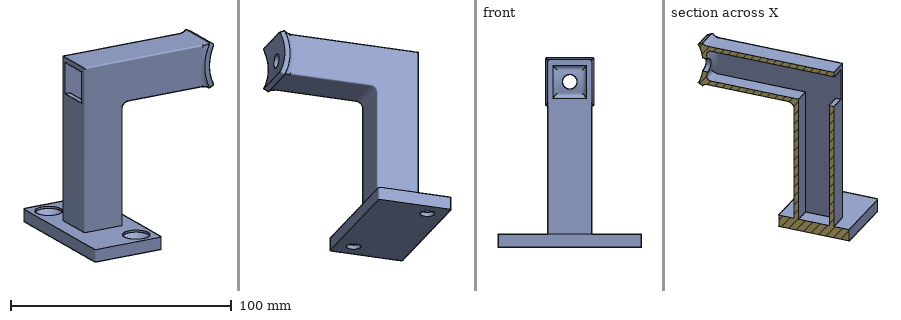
import cadquery as cq
import math

BASE_LENGTH = 65.0
BASE_WIDTH = 35.0
BASE_THICKNESS = 6.0
BASE_CORNER_RADIUS = 1.0

SCREW_DIAMETER = 6.5
COUNTERSINK_DIAMETER = 12.5
COUNTERSINK_ANGLE = 90.0
COUNTERSINK_RECESS = 1.0
SCREW_X = 24.0
SCREW_Y = 9.0

TUBE_SIZE = 20.0
TUBE_WALL = 2.5
TUBE_EDGE_RADIUS = 0.7
INNER_BEND_RADIUS = 3.0
ARM_AXIS_Z = 75.0

OVERALL_REACH = 57.42
RAIL_RADIUS = 21.2
SADDLE_THICKNESS = 2.5
SADDLE_SIZE = 22.0
SADDLE_CORNER_RADIUS = 1.0
FLARE_RADIUS = 3.0
CAVITY_FILLET_RADIUS = 2.0

HALF_TUBE = TUBE_SIZE / 2
BORE_SIZE = TUBE_SIZE - 2 * TUBE_WALL
HALF_BORE = BORE_SIZE / 2
HALF_SADDLE = SADDLE_SIZE / 2
SADDLE_BACK_RADIUS = RAIL_RADIUS + SADDLE_THICKNESS
SADDLE_HALF_ANGLE = math.asin(HALF_SADDLE / SADDLE_BACK_RADIUS)
RAIL_AXIS_Y = OVERALL_REACH + RAIL_RADIUS * math.cos(SADDLE_HALF_ANGLE)

FLARE_OVERHANG = HALF_SADDLE - HALF_TUBE
FLARE_LENGTH = math.sqrt(FLARE_RADIUS**2 - (FLARE_RADIUS - FLARE_OVERHANG) ** 2)
FLARE_END_RADIUS = SADDLE_BACK_RADIUS + FLARE_LENGTH


def make_base():
    plate = cq.Workplane("XY").box(BASE_LENGTH, BASE_WIDTH, BASE_THICKNESS, centered=(True, True, False))
    plate = plate.edges("|Z").fillet(BASE_CORNER_RADIUS)
    return (
        plate
        .cut(make_screw_hole(-SCREW_X, -SCREW_Y))
        .cut(make_screw_hole(SCREW_X, SCREW_Y))
    )


def make_screw_hole(x, y):
    """Through hole with a conical countersink that starts below a short straight recess."""
    hole_radius = SCREW_DIAMETER / 2
    head_radius = COUNTERSINK_DIAMETER / 2
    cone_depth = (head_radius - hole_radius) / math.tan(math.radians(COUNTERSINK_ANGLE / 2))
    cone_top = BASE_THICKNESS - COUNTERSINK_RECESS
    profile = [
        (0, 0),
        (hole_radius, 0),
        (hole_radius, cone_top - cone_depth),
        (head_radius, cone_top),
        (head_radius, BASE_THICKNESS),
        (0, BASE_THICKNESS),
    ]
    hole = cq.Workplane("XZ").polyline(profile).close().revolve(360, (0, 0, 0), (0, 1, 0))
    return hole.translate((x, y, 0))


def rail_cylinder(radius):
    """Solid cylinder on the handrail axis, wider than the part."""
    return (
        cq.Workplane("YZ").center(RAIL_AXIS_Y, ARM_AXIS_Z)
        .circle(radius).extrude(SADDLE_SIZE, both=True)
    )


def make_tube():
    """Outer shape of the bent tube as a solid, ending halfway through the saddle's thickness."""
    top = ARM_AXIS_Z + HALF_TUBE
    underside = ARM_AXIS_Z - HALF_TUBE
    outline = [
        (-HALF_TUBE, BASE_THICKNESS),
        (-HALF_TUBE, top),
        (RAIL_AXIS_Y, top),
        (RAIL_AXIS_Y, underside),
        (HALF_TUBE, underside),
        (HALF_TUBE, BASE_THICKNESS),
    ]
    tube = cq.Workplane("YZ").polyline(outline).close().extrude(HALF_TUBE, both=True)
    inner_bend = cq.selectors.NearestToPointSelector((0, HALF_TUBE, underside))
    tube = tube.edges(inner_bend).fillet(INNER_BEND_RADIUS)
    side_edges = tube.faces("<X or >X").edges("not(<Z or >Y)")
    tube = side_edges.fillet(TUBE_EDGE_RADIUS)
    return tube.cut(rail_cylinder(RAIL_RADIUS + SADDLE_THICKNESS / 2))


def flare_arc_middle():
    """Halfway point of the flare arc: distance out from the tube side, distance behind the saddle."""
    sweep = math.acos((FLARE_RADIUS - FLARE_OVERHANG) / FLARE_RADIUS)
    outward = FLARE_RADIUS * (1 - math.cos(sweep / 2))
    behind = FLARE_LENGTH - FLARE_RADIUS * math.sin(sweep / 2)
    return outward, behind


def saddle_turned_body():
    """Saddle with flared +X and -X sides: a flat profile turned about the handrail axis."""
    outward, behind = flare_arc_middle()
    middle_x = HALF_TUBE + outward
    middle_y = -SADDLE_BACK_RADIUS - behind
    half_turn = 45.0
    profile = (
        cq.Workplane("XY")
        .moveTo(-HALF_SADDLE, -RAIL_RADIUS)
        .lineTo(HALF_SADDLE, -RAIL_RADIUS)
        .lineTo(HALF_SADDLE, -SADDLE_BACK_RADIUS)
        .threePointArc((middle_x, middle_y), (HALF_TUBE, -FLARE_END_RADIUS))
        .lineTo(-HALF_TUBE, -FLARE_END_RADIUS)
        .threePointArc((-middle_x, middle_y), (-HALF_SADDLE, -SADDLE_BACK_RADIUS))
        .close()
    )
    body = profile.revolve(2 * half_turn, (0, 0, 0), (1, 0, 0))
    body = body.rotate((0, 0, 0), (1, 0, 0), -half_turn)
    return body.translate((0, RAIL_AXIS_Y, ARM_AXIS_Z))


def saddle_side_body():
    """Block with the saddle's side outline: radial ends, and flares down to the tube top and underside."""
    outward, behind = flare_arc_middle()
    tip_y = RAIL_AXIS_Y - SADDLE_BACK_RADIUS * math.cos(SADDLE_HALF_ANGLE)
    middle_y = tip_y - behind
    middle_z = HALF_TUBE + outward
    flare_end_y = tip_y - FLARE_LENGTH
    back_y = RAIL_AXIS_Y - FLARE_END_RADIUS
    outline = (
        cq.Workplane("YZ", origin=(0, 0, ARM_AXIS_Z))
        .moveTo(RAIL_AXIS_Y, 0)
        .lineTo(tip_y, HALF_SADDLE)
        .threePointArc((middle_y, middle_z), (flare_end_y, HALF_TUBE))
        .lineTo(back_y, HALF_TUBE)
        .lineTo(back_y, -HALF_TUBE)
        .lineTo(flare_end_y, -HALF_TUBE)
        .threePointArc((middle_y, -middle_z), (tip_y, -HALF_SADDLE))
        .close()
    )
    return outline.extrude(HALF_SADDLE, both=True)


def is_corner_edge(edge):
    """True for the straight edges that run through the saddle's thickness at its four corners."""
    tolerance = 0.01
    return edge.geomType() == "LINE" and abs(edge.Length() - SADDLE_THICKNESS) < tolerance


def make_saddle():
    saddle = saddle_turned_body().intersect(saddle_side_body())
    return saddle.edges().filter(is_corner_edge).fillet(SADDLE_CORNER_RADIUS)


def make_post_bore():
    """Square bore of the post, from the base plate up into the bend."""
    height = ARM_AXIS_Z + HALF_BORE - BASE_THICKNESS
    return cq.Workplane("XY", origin=(0, 0, BASE_THICKNESS)).rect(BORE_SIZE, BORE_SIZE).extrude(height)


def make_arm_bore():
    """Square bore of the arm, open at the bend and closed by the curved saddle with a filleted end."""
    start_y = -HALF_TUBE
    bore = (
        cq.Workplane("XZ", origin=(0, start_y, ARM_AXIS_Z))
        .rect(BORE_SIZE, BORE_SIZE)
        .extrude(start_y - RAIL_AXIS_Y)
    )
    bore = bore.cut(rail_cylinder(SADDLE_BACK_RADIUS))
    return bore.faces(">Y").edges().fillet(CAVITY_FILLET_RADIUS)


def make_rail_screw_hole():
    """Hole through the middle of the saddle, along the arm."""
    return (
        cq.Workplane("XZ", origin=(0, 0, ARM_AXIS_Z))
        .circle(SCREW_DIAMETER / 2)
        .extrude(-RAIL_AXIS_Y)
    )


result = (
    make_base()
    .union(make_tube())
    .union(make_saddle())
    .cut(make_post_bore())
    .cut(make_arm_bore())
    .cut(make_rail_screw_hole())
)